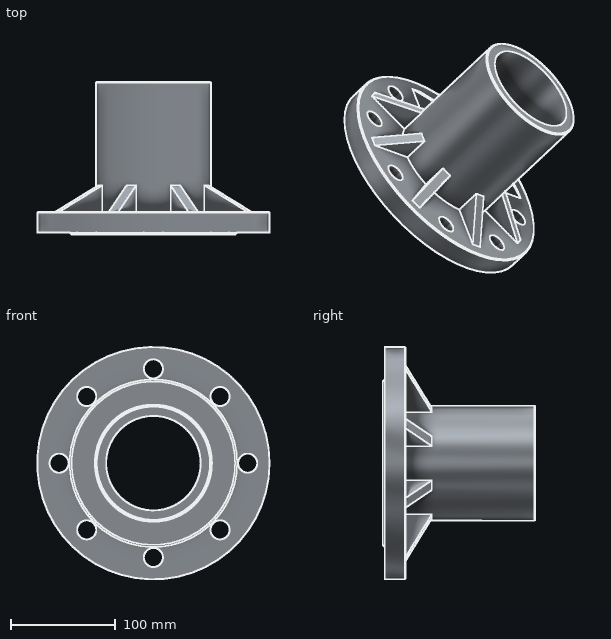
import cadquery as cq

overall_length = 146.0
pipe_diameter = 110.0
bore_diameter = 90.0
pipe_chamfer = 1.0

flange_diameter = 222.0
flange_thickness = 20.0
flange_chamfer = 1.0
raised_face_diameter = 160.0
raised_face_height = 2.0

bolt_count = 8
bolt_circle_diameter = 180.0
bolt_hole_diameter = 18.0

rib_thickness = 10.0
rib_height = 25.0
rib_reach = 44.0

pipe_radius = pipe_diameter / 2
bore_radius = bore_diameter / 2
flange_radius = flange_diameter / 2
raised_face_radius = raised_face_diameter / 2
flange_back = raised_face_height + flange_thickness
bolt_pitch_angle = 360.0 / bolt_count
rib_tip_radius = pipe_radius + rib_reach
rib_root_radius = (bore_radius + pipe_radius) / 2
rib_root_height = rib_height * (rib_tip_radius - rib_root_radius) / rib_reach


def make_flanged_pipe():
    """Revolve the pipe, flange and raised face, with a V groove where the pipe meets the face."""
    profile = (
        cq.Workplane("XY")
        .moveTo(bore_radius, 0)
        .lineTo(pipe_radius - pipe_chamfer, 0)
        .lineTo(pipe_radius, pipe_chamfer)
        .lineTo(pipe_radius + pipe_chamfer, 0)
        .lineTo(raised_face_radius - raised_face_height, 0)
        .lineTo(raised_face_radius, raised_face_height)
        .lineTo(flange_radius, raised_face_height)
        .lineTo(flange_radius, flange_back - flange_chamfer)
        .lineTo(flange_radius - flange_chamfer, flange_back)
        .lineTo(pipe_radius, flange_back)
        .lineTo(pipe_radius, overall_length - pipe_chamfer)
        .lineTo(pipe_radius - pipe_chamfer, overall_length)
        .lineTo(bore_radius, overall_length)
        .close()
    )
    return profile.revolve(360, (0, 0, 0), (0, 1, 0))


def make_rib(angle):
    """Triangular rib from the pipe wall to the back of the flange, turned about the Y axis."""
    rib = (
        cq.Workplane("XY")
        .moveTo(rib_root_radius, flange_back)
        .lineTo(rib_tip_radius, flange_back)
        .lineTo(rib_root_radius, flange_back + rib_root_height)
        .close()
        .extrude(rib_thickness / 2, both=True)
    )
    return rib.rotate((0, 0, 0), (0, 1, 0), angle)


def make_bolt_holes():
    """Cylinders on the bolt circle, running through the flange."""
    return (
        cq.Workplane("XZ")
        .polarArray(bolt_circle_diameter / 2, 0, 360, bolt_count)
        .circle(bolt_hole_diameter / 2)
        .extrude(-flange_back)
    )


result = make_flanged_pipe()
for index in range(bolt_count):
    result = result.union(make_rib((index + 0.5) * bolt_pitch_angle))
result = result.cut(make_bolt_holes())